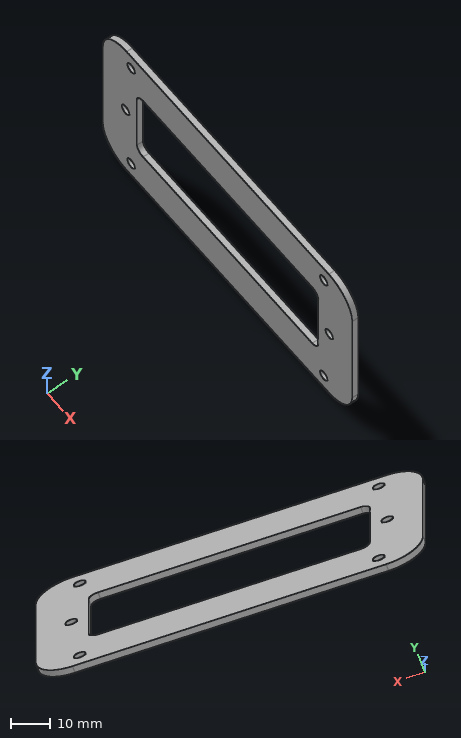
import cadquery as cq

plate_length = 105.0
plate_height = 56.0
plate_thickness = 2.0
plate_corner_radius = 10.0

window_length = 76.2
window_height = 26.2
window_corner_radius = 2.5

hole_diameter = 3.2
corner_hole_x = 40.5
corner_hole_z = 22.5
side_hole_x = 42.8


def rounded_slab(length, height, corner_radius):
    """Upright rectangular slab of plate thickness with rounded corners, centred on the origin."""
    slab = cq.Workplane("XZ").rect(length, height).extrude(plate_thickness / 2, both=True)
    return slab.edges("|Y").fillet(corner_radius)


plate = rounded_slab(plate_length, plate_height, plate_corner_radius)
window = rounded_slab(window_length, window_height, window_corner_radius)

hole_centres = [
    (side * x, z)
    for side in (-1, 1)
    for x, z in (
        (corner_hole_x, -corner_hole_z),
        (side_hole_x, 0),
        (corner_hole_x, corner_hole_z),
    )
]
holes = (
    cq.Workplane("XZ")
    .pushPoints(hole_centres)
    .circle(hole_diameter / 2)
    .extrude(plate_thickness, both=True)
)

result = plate.cut(window).cut(holes)